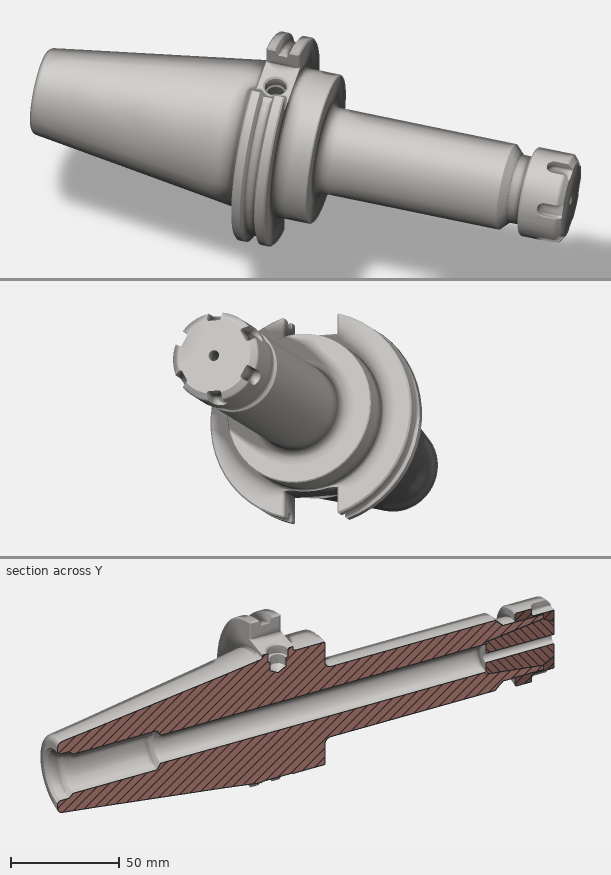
import cadquery as cq
import math

TOTAL_LENGTH = 254.0

GAUGE_DIAMETER = 69.8
TAPER_LENGTH = 101.5
TAPER_RATIO = 7 / 24
TAPER_END_FILLET = 3.0

FLANGE_DIAMETER = 98.5
FLANGE_START = 104.6
FLANGE_END = 120.6
FLANGE_EDGE_CHAMFER = 0.8
FLANGE_ROOT_FILLET = 0.8
GROOVE_CENTRE = 112.5
GROOVE_FLOOR_WIDTH = 4.0
GROOVE_MOUTH_WIDTH = 7.0
GROOVE_FLOOR_DIAMETER = 91.5

DRIVE_SLOT_WIDTH = 26.0
DRIVE_SLOT_EDGE_CHAMFER = 0.8
UPPER_SLOT_FLOOR = 37.5
LOWER_SLOT_FLOOR = 34.8
PIN_HOLE_X = 112.8
PIN_HOLE_DIAMETER = 8.0
PIN_COUNTERBORE_DIAMETER = 10.2
PIN_COUNTERBORE_DEPTH = 5.0
PIN_MOUTH_DIAMETER = 11.7
PIN_HOLE_DEPTH = 10.2
DRILL_POINT_HALF_ANGLE = 59

COLLAR_DIAMETER = 70.4
COLLAR_END = 137.0
COLLAR_FRONT_CHAMFER = 0.8
COLLAR_BACK_CHAMFER = 0.5
SHANK_DIAMETER = 40.5
SHANK_FILLET = 3.0
SHANK_END = 227.5
SHANK_END_CHAMFER = 3.8
NOSE_DIAMETER = 32.0

STUD_MOUTH_DIAMETER = 29.0
STUD_COUNTERBORE_DIAMETER = 26.5
STUD_COUNTERBORE_DEPTH = 5.8
STUD_BORE_DIAMETER = 22.0
STUD_BORE_DEPTH = 50.8
THROUGH_BORE_DIAMETER = 15.7

COLLET_BACK_DIAMETER = 18.0
COLLET_BACK_FACE_DIAMETER = 15.2
COLLET_RIM_DIAMETER = 26.5
COLLET_FRONT_DIAMETER = 20.3
COLLET_BORE_DIAMETER = 5.0
COLLET_TAPER_ANGLE = 8
COLLET_FRONT_ANGLE = 30

NUT_DIAMETER = 42.0
NUT_LENGTH = 20.0
NUT_BACK_CHAMFER = 0.8
NUT_FRONT_CHAMFER_LENGTH = 2.3
NUT_FRONT_CHAMFER_DEPTH = 3.0
NUT_SLOT_COUNT = 6
NUT_EDGE_FILLET = 1.3
NUT_SLOT_WIDTH = 6.9
NUT_SLOT_LENGTH = 11.5
NUT_SLOT_DEPTH = 4.3
NUT_SLOT_FLOOR_FILLET = 1.0
LONG_SLOT_LENGTH = 13.7
LONG_SLOT_INDEX = 5

COLLET_RIM_X = TOTAL_LENGTH - (COLLET_RIM_DIAMETER - COLLET_FRONT_DIAMETER) / 2 / math.tan(
    math.radians(COLLET_FRONT_ANGLE)
)
COLLET_BACK_X = COLLET_RIM_X - (COLLET_RIM_DIAMETER - COLLET_BACK_DIAMETER) / 2 / math.tan(
    math.radians(COLLET_TAPER_ANGLE)
)
NUT_START = TOTAL_LENGTH - NUT_LENGTH


def turned(points):
    """Revolve a closed outline of (x, radius) points about the X axis."""
    return cq.Workplane("XY").polyline(points).close().revolve(360, (0, 0, 0), (1, 0, 0))


def arbor_blank():
    """Solid of revolution: taper, flange, collar, shank and nose."""
    small_radius = (GAUGE_DIAMETER - TAPER_RATIO * TAPER_LENGTH) / 2
    gauge_radius = GAUGE_DIAMETER / 2
    flange_radius = FLANGE_DIAMETER / 2
    collar_radius = COLLAR_DIAMETER / 2
    root_radius = collar_radius + FLANGE_ROOT_FILLET
    shank_radius = SHANK_DIAMETER / 2
    nose_radius = NOSE_DIAMETER / 2
    taper = turned([(0, 0), (0, small_radius), (TAPER_LENGTH, gauge_radius), (TAPER_LENGTH, 0)])
    taper = taper.faces("<X").edges().fillet(TAPER_END_FILLET)
    flange = (
        cq.Workplane("XY")
        .moveTo(TAPER_LENGTH, 0)
        .lineTo(TAPER_LENGTH, gauge_radius)
        .lineTo(TAPER_LENGTH + COLLAR_FRONT_CHAMFER, collar_radius)
        .lineTo(FLANGE_START - FLANGE_ROOT_FILLET, collar_radius)
        .radiusArc((FLANGE_START, root_radius), -FLANGE_ROOT_FILLET)
        .lineTo(FLANGE_START, flange_radius - FLANGE_EDGE_CHAMFER)
        .lineTo(FLANGE_START + FLANGE_EDGE_CHAMFER, flange_radius)
        .lineTo(FLANGE_END - FLANGE_EDGE_CHAMFER, flange_radius)
        .lineTo(FLANGE_END, flange_radius - FLANGE_EDGE_CHAMFER)
        .lineTo(FLANGE_END, 0)
        .close()
        .revolve(360, (0, 0, 0), (1, 0, 0))
    )
    shank = (
        cq.Workplane("XY")
        .moveTo(FLANGE_END, 0)
        .lineTo(FLANGE_END, root_radius)
        .radiusArc((FLANGE_END + FLANGE_ROOT_FILLET, collar_radius), -FLANGE_ROOT_FILLET)
        .lineTo(COLLAR_END - COLLAR_BACK_CHAMFER, collar_radius)
        .lineTo(COLLAR_END, collar_radius - COLLAR_BACK_CHAMFER)
        .lineTo(COLLAR_END, shank_radius + SHANK_FILLET)
        .radiusArc((COLLAR_END + SHANK_FILLET, shank_radius), -SHANK_FILLET)
        .lineTo(SHANK_END - SHANK_END_CHAMFER, shank_radius)
        .lineTo(SHANK_END, shank_radius - SHANK_END_CHAMFER)
        .lineTo(SHANK_END, nose_radius)
        .lineTo(COLLET_RIM_X, nose_radius)
        .lineTo(COLLET_RIM_X, 0)
        .close()
        .revolve(360, (0, 0, 0), (1, 0, 0))
    )
    return taper.union(flange).union(shank)


def flange_groove():
    """V-shaped gripper groove around the flange."""
    floor_radius = GROOVE_FLOOR_DIAMETER / 2
    depth = FLANGE_DIAMETER / 2 - floor_radius
    half_floor = GROOVE_FLOOR_WIDTH / 2
    half_mouth = GROOVE_MOUTH_WIDTH / 2
    return turned([
        (GROOVE_CENTRE - half_floor, floor_radius),
        (GROOVE_CENTRE + half_floor, floor_radius),
        (GROOVE_CENTRE + half_mouth, floor_radius + depth),
        (GROOVE_CENTRE - half_mouth, floor_radius + depth),
    ])


def drive_slot(floor_z, side):
    """Edge-chamfered slot through the flange above (side = 1) or below (side = -1) the axis."""
    height = FLANGE_DIAMETER / 2
    half = DRIVE_SLOT_WIDTH / 2
    chamfer = DRIVE_SLOT_EDGE_CHAMFER
    half_outline = [
        (FLANGE_START, 0),
        (FLANGE_START, half + chamfer),
        (FLANGE_START + chamfer, half),
        (FLANGE_END - chamfer, half),
        (FLANGE_END, half + chamfer),
        (FLANGE_END, 0),
    ]
    half_slot = cq.Workplane("XY").polyline(half_outline).close().extrude(height)
    flare_z = math.sqrt(height**2 - (half + chamfer) ** 2) - chamfer - floor_z
    flare_outline = [
        (0, flare_z),
        (half, flare_z),
        (half + height - flare_z, height),
        (0, height),
    ]
    half_flare = (
        cq.Workplane("YZ", origin=(FLANGE_START, 0, 0))
        .polyline(flare_outline)
        .close()
        .extrude(FLANGE_END - FLANGE_START)
    )
    half_slot = half_slot.union(half_flare)
    slot = half_slot.union(half_slot.mirror("XZ"))
    if side < 0:
        slot = slot.mirror("XY")
    return slot.translate((0, 0, side * floor_z))


def pin_hole():
    """Chamfered and counterbored blind hole with a drill point, in the floor of the upper slot."""
    radius = PIN_HOLE_DIAMETER / 2
    counterbore_radius = PIN_COUNTERBORE_DIAMETER / 2
    mouth_radius = PIN_MOUTH_DIAMETER / 2
    point = radius / math.tan(math.radians(DRILL_POINT_HALF_ANGLE))
    outline = [
        (0, 0),
        (mouth_radius, 0),
        (counterbore_radius, counterbore_radius - mouth_radius),
        (counterbore_radius, -PIN_COUNTERBORE_DEPTH),
        (radius, -PIN_COUNTERBORE_DEPTH),
        (radius, -PIN_HOLE_DEPTH),
        (0, -PIN_HOLE_DEPTH - point),
    ]
    hole = cq.Workplane("XZ").polyline(outline).close().revolve(360, (0, 0, 0), (0, 1, 0))
    return hole.translate((PIN_HOLE_X, 0, UPPER_SLOT_FLOOR))


def arbor_bore():
    """Stepped bore from the pull-stud thread to the tapered collet seat."""
    mouth = STUD_MOUTH_DIAMETER / 2
    counterbore = STUD_COUNTERBORE_DIAMETER / 2
    stud = STUD_BORE_DIAMETER / 2
    through = THROUGH_BORE_DIAMETER / 2
    point = (stud - through) / math.tan(math.radians(DRILL_POINT_HALF_ANGLE))
    return turned([
        (0, 0),
        (0, mouth),
        (mouth - counterbore, counterbore),
        (STUD_COUNTERBORE_DEPTH, counterbore),
        (STUD_COUNTERBORE_DEPTH + counterbore - stud, stud),
        (STUD_BORE_DEPTH, stud),
        (STUD_BORE_DEPTH + point, through),
        (COLLET_BACK_X, through),
        (COLLET_BACK_X, COLLET_BACK_DIAMETER / 2),
        (COLLET_RIM_X, COLLET_RIM_DIAMETER / 2),
        (COLLET_RIM_X, 0),
    ])


def make_arbor():
    arbor = arbor_blank().cut(flange_groove())
    arbor = arbor.cut(drive_slot(UPPER_SLOT_FLOOR, 1)).cut(drive_slot(LOWER_SLOT_FLOOR, -1))
    return arbor.cut(pin_hole()).cut(arbor_bore())


def make_collet():
    """Double-cone collet with a chamfered back and a plain bore."""
    bore = COLLET_BORE_DIAMETER / 2
    back_face = COLLET_BACK_FACE_DIAMETER / 2
    back_radius = COLLET_BACK_DIAMETER / 2
    slope = math.tan(math.radians(COLLET_TAPER_ANGLE))
    chamfer = (back_radius - back_face) / (1 - slope)
    chamfered_radius = back_face + chamfer
    return turned([
        (COLLET_BACK_X, bore),
        (COLLET_BACK_X, back_face),
        (COLLET_BACK_X + chamfer, chamfered_radius),
        (COLLET_RIM_X, COLLET_RIM_DIAMETER / 2),
        (TOTAL_LENGTH, COLLET_FRONT_DIAMETER / 2),
        (TOTAL_LENGTH, bore),
    ])


def nut_slot(angle, length):
    """Round-ended spanner slot with a filleted floor, open at the front of the nut."""
    radius = NUT_SLOT_WIDTH / 2
    end_x = TOTAL_LENGTH - length + radius
    slot = (
        cq.Workplane("XY", origin=(0, 0, NUT_DIAMETER / 2 - NUT_SLOT_DEPTH))
        .moveTo(TOTAL_LENGTH, -radius)
        .lineTo(end_x, -radius)
        .threePointArc((end_x - radius, 0), (end_x, radius))
        .lineTo(TOTAL_LENGTH, radius)
        .close()
        .extrude(2 * NUT_SLOT_DEPTH)
        .faces("<Z")
        .edges("not(>X)")
        .fillet(NUT_SLOT_FLOOR_FILLET)
    )
    return slot.rotate((0, 0, 0), (1, 0, 0), angle)


def make_nut():
    """Clamping nut around the nose, closing over the front cone of the collet."""
    outer = NUT_DIAMETER / 2
    blank = turned([
        (NUT_START, NOSE_DIAMETER / 2),
        (NUT_START, outer - NUT_BACK_CHAMFER),
        (NUT_START + NUT_BACK_CHAMFER, outer),
        (TOTAL_LENGTH - NUT_FRONT_CHAMFER_LENGTH, outer),
        (TOTAL_LENGTH, outer - NUT_FRONT_CHAMFER_DEPTH),
        (TOTAL_LENGTH, COLLET_FRONT_DIAMETER / 2),
        (COLLET_RIM_X, COLLET_RIM_DIAMETER / 2),
        (COLLET_RIM_X, NOSE_DIAMETER / 2),
    ])
    front_edge_x = TOTAL_LENGTH - NUT_FRONT_CHAMFER_LENGTH
    near_front_edge = cq.selectors.BoxSelector(
        (front_edge_x - NUT_BACK_CHAMFER, -outer, -outer),
        (front_edge_x + NUT_BACK_CHAMFER, outer, outer),
        boundingbox=False,
    )
    nut = blank.edges("%CIRCLE").edges(near_front_edge).fillet(NUT_EDGE_FILLET)
    for index in range(NUT_SLOT_COUNT):
        length = LONG_SLOT_LENGTH if index == LONG_SLOT_INDEX else NUT_SLOT_LENGTH
        nut = nut.cut(nut_slot(index * 360 / NUT_SLOT_COUNT, length))
    return nut


arbor = make_arbor()
collet = make_collet()
nut = make_nut()

result = cq.Compound.makeCompound([arbor.val(), collet.val(), nut.val()])